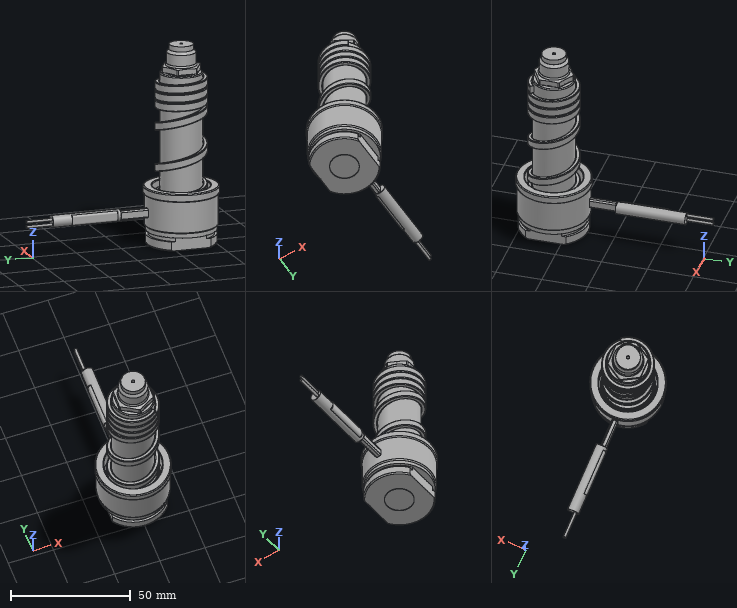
import cadquery as cq
import math

FOOT_RADIUS = 6.2
FOOT_HEIGHT = 0.3
BASE_RADIUS = 15.0
BASE_CHAMFER = 0.5
BASE_TOP = 4.3
GROOVE_RADIUS = 14.0
GROOVE_TOP = 6.1
FLAT_DISTANCE = 12.15

COLLAR_TOP = 8.0
BODY_RADIUS = 15.5
BODY_BOTTOM = 8.5
BODY_TOP = 21.7
RIM_RADIUS = 32.0 / 2
RIM_BOTTOM = 22.15
RIM_TOP = 25.25
RIM_CHAMFER = 0.4
BORE_RADIUS = 12.2
BORE_CHAMFER = 0.35
BORE_SHELF = 18.1
LOWER_BORE_RADIUS = 11.55
BORE_FLOOR = BODY_BOTTOM

BARREL_RADIUS = 9.05
BARREL_TOP = 74.1
BARREL_CHAMFER = 0.4
NECK_RADIUS = 7.0
HEX_BOTTOM = 74.6
HEX_ACROSS_FLATS = 14.9
HEX_CORNER_RADIUS = 8.45
HEX_EDGE_TOP = 76.9
HEX_TOP = 77.2
HEX_CROWN_RADIUS = 6.6
COLLAR_CONE_TOP = 78.0
TIP_COLLAR_RADIUS = 6.2
TIP_COLLAR_TOP = 82.75
TIP_STEP_RADIUS = 5.6
TIP_STEP_BOTTOM = 83.4
TIP_STEP_TOP = 84.0
TIP_RADIUS = 5.2
TIP_TOP = 86.2
TIP_HOLE_RADIUS = 0.6
TIP_HOLE_DEPTH = 1.7

COIL_OUTER_RADIUS = 11.0
COIL_SINK = 0.2
COIL_ROOT_RADIUS = BARREL_RADIUS - COIL_SINK
COIL_HEIGHT = 3.5
COIL_CHAMFER = 0.35
COIL_ROOT_BEVEL_RADIUS = 9.5
COIL_TOP = 70.9
COIL_TOP_ANGLE = -49.4
TIGHT_GAP = 0.39
TIGHT_PITCH = COIL_HEIGHT + TIGHT_GAP
LOOSE_PITCH = 17.85
COIL_STRETCHES = [
    (3.05, TIGHT_PITCH, TIGHT_PITCH),
    (0.36, TIGHT_PITCH, LOOSE_PITCH),
    (1.6, LOOSE_PITCH, LOOSE_PITCH),
    (0.36, LOOSE_PITCH, TIGHT_PITCH),
    (3.0, TIGHT_PITCH, TIGHT_PITCH),
]
POINTS_PER_TURN = 24

SLEEVE_RADIUS = 2.6
SLEEVE_Z = 14.65
SLEEVE_START = 27.4
SLEEVE_END = 57.6
PAD_START = 29.0
PAD_END = 49.1
PAD_HEIGHT = 4.5
PAD_FILLET = 0.95
CORD_X = -0.8
CORD_WIDTH = 2.6
CORD_HEIGHT = 4.05
CORD_CHAMFER = 0.6
CORD_START = 13.8
WIRE_X = -1.0
WIRE_RADIUS = 0.65
WIRE_SPACING = 2.15
OVERALL_LENGTH = 85.0
WIRE_END = OVERALL_LENGTH - RIM_RADIUS


def revolved(profile):
    """Solid of revolution about Z from (radius, z) points."""
    return cq.Workplane("XZ").polyline(profile).close().revolve(360, (0, 0), (0, 1))


def along_y(x, z, start):
    """Sketch plane facing +Y, with its local axes along -X and +Z."""
    return cq.Workplane(cq.Plane((x, start, z), xDir=(-1, 0, 0), normal=(0, 1, 0)))


def make_base():
    base = revolved([
        (0, 0),
        (FOOT_RADIUS, 0),
        (FOOT_RADIUS, FOOT_HEIGHT),
        (BASE_RADIUS - BASE_CHAMFER, FOOT_HEIGHT),
        (BASE_RADIUS, FOOT_HEIGHT + BASE_CHAMFER),
        (BASE_RADIUS, BASE_TOP),
        (GROOVE_RADIUS, BASE_TOP),
        (GROOVE_RADIUS, GROOVE_TOP),
        (0, GROOVE_TOP),
    ])
    between_flats = cq.Workplane("XY").box(
        2 * FLAT_DISTANCE, 2 * BASE_RADIUS, GROOVE_TOP, centered=(True, True, False)
    )
    return base.intersect(between_flats)


def make_cup():
    return revolved([
        (0, GROOVE_TOP),
        (BASE_RADIUS, GROOVE_TOP),
        (BASE_RADIUS, COLLAR_TOP),
        (BODY_RADIUS, BODY_BOTTOM),
        (BODY_RADIUS, BODY_TOP),
        (RIM_RADIUS, RIM_BOTTOM),
        (RIM_RADIUS, RIM_TOP - RIM_CHAMFER),
        (RIM_RADIUS - RIM_CHAMFER, RIM_TOP),
        (BORE_RADIUS + BORE_CHAMFER, RIM_TOP),
        (BORE_RADIUS, RIM_TOP - BORE_CHAMFER),
        (BORE_RADIUS, BORE_SHELF),
        (LOWER_BORE_RADIUS, BORE_SHELF),
        (LOWER_BORE_RADIUS, BORE_FLOOR),
        (0, BORE_FLOOR),
    ])


def make_barrel():
    return revolved([
        (0, BORE_FLOOR),
        (BARREL_RADIUS, BORE_FLOOR),
        (BARREL_RADIUS, BARREL_TOP - BARREL_CHAMFER),
        (BARREL_RADIUS - BARREL_CHAMFER, BARREL_TOP),
        (NECK_RADIUS, BARREL_TOP),
        (NECK_RADIUS, HEX_BOTTOM),
        (0, HEX_BOTTOM),
    ])


def make_hexagon():
    corner_diameter = HEX_ACROSS_FLATS / math.cos(math.pi / 6)
    prism = (
        cq.Workplane("XY", origin=(0, 0, HEX_BOTTOM))
        .polygon(6, corner_diameter)
        .extrude(HEX_TOP - HEX_BOTTOM)
        .rotate((0, 0, 0), (0, 0, 1), 30)
    )
    rounding = revolved([
        (0, HEX_BOTTOM),
        (HEX_CORNER_RADIUS, HEX_BOTTOM),
        (HEX_CORNER_RADIUS, HEX_EDGE_TOP),
        (HEX_CROWN_RADIUS, HEX_TOP),
        (0, HEX_TOP),
    ])
    return prism.intersect(rounding)


def make_tip():
    tip = revolved([
        (0, HEX_TOP),
        (HEX_CROWN_RADIUS, HEX_TOP),
        (TIP_COLLAR_RADIUS, COLLAR_CONE_TOP),
        (TIP_COLLAR_RADIUS, TIP_COLLAR_TOP),
        (TIP_STEP_RADIUS, TIP_STEP_BOTTOM),
        (TIP_RADIUS, TIP_STEP_TOP),
        (TIP_RADIUS, TIP_TOP),
        (0, TIP_TOP),
    ])
    return tip.faces(">Z").workplane().circle(TIP_HOLE_RADIUS).cutBlind(-TIP_HOLE_DEPTH)


def coil_section():
    """Corners of the band as (radius, height above its middle)."""
    half = COIL_HEIGHT / 2
    root_half = half - (COIL_ROOT_BEVEL_RADIUS - COIL_ROOT_RADIUS)
    shoulder = COIL_OUTER_RADIUS - COIL_CHAMFER
    return [
        (COIL_ROOT_RADIUS, -root_half),
        (COIL_ROOT_BEVEL_RADIUS, -half),
        (shoulder, -half),
        (COIL_OUTER_RADIUS, COIL_CHAMFER - half),
        (COIL_OUTER_RADIUS, half - COIL_CHAMFER),
        (shoulder, half),
        (COIL_ROOT_BEVEL_RADIUS, half),
        (COIL_ROOT_RADIUS, root_half),
    ]


def coil_drop(turn, turns, start_pitch, end_pitch):
    """Descent after some turns of a stretch whose pitch changes evenly."""
    return start_pitch * turn + (end_pitch - start_pitch) * turn ** 2 / (2 * turns)


def coil_stretch(start_angle, start_z, turns, start_pitch, end_pitch):
    """Solid band winding down clockwise from a start angle and height."""
    steps = math.ceil(turns * POINTS_PER_TURN)
    rails = []
    for radius, offset in coil_section():
        points = []
        for step in range(steps + 1):
            turn = turns * step / steps
            angle = math.radians(start_angle - 360 * turn)
            z = start_z + offset - coil_drop(turn, turns, start_pitch, end_pitch)
            points.append(cq.Vector(radius * math.cos(angle), radius * math.sin(angle), z))
        rails.append(cq.Edge.makeSpline(points))

    faces = [
        cq.Face.makeRuledSurface(rail, next_rail)
        for rail, next_rail in zip(rails, rails[1:] + rails[:1])
    ]
    for end in (0, 1):
        corners = [rail.positionAt(end) for rail in rails]
        faces.append(cq.Face.makeFromWires(cq.Wire.makePolygon(corners, close=True)))
    return cq.Solid.makeSolid(cq.Shell.makeShell(faces)).fix()


def make_coil():
    """Bands of the coil, each starting where the one above it ends."""
    angle = COIL_TOP_ANGLE
    z = COIL_TOP
    bands = []
    for turns, start_pitch, end_pitch in COIL_STRETCHES:
        bands.append(coil_stretch(angle, z, turns, start_pitch, end_pitch))
        angle -= 360 * turns
        z -= coil_drop(turns, turns, start_pitch, end_pitch)
    return bands


def make_cable():
    cord = (
        along_y(CORD_X, SLEEVE_Z, CORD_START)
        .rect(CORD_WIDTH, CORD_HEIGHT)
        .extrude(SLEEVE_START - CORD_START)
        .edges("|Y")
        .chamfer(CORD_CHAMFER)
    )
    sleeve = along_y(0, SLEEVE_Z, SLEEVE_START).circle(SLEEVE_RADIUS).extrude(SLEEVE_END - SLEEVE_START)
    pad = (
        along_y(-SLEEVE_RADIUS / 2, SLEEVE_Z, PAD_START)
        .rect(SLEEVE_RADIUS, PAD_HEIGHT)
        .extrude(PAD_END - PAD_START)
        .edges("|Y and <X")
        .fillet(PAD_FILLET)
    )
    wires = (
        along_y(WIRE_X, SLEEVE_Z, SLEEVE_END)
        .pushPoints([(0, -WIRE_SPACING / 2), (0, WIRE_SPACING / 2)])
        .circle(WIRE_RADIUS)
        .extrude(WIRE_END - SLEEVE_END)
    )
    return cord.union(sleeve).union(pad).union(wires)


result = make_base().union(make_cup()).union(make_barrel()).union(make_hexagon()).union(make_tip())
for coil_band in make_coil():
    result = result.union(cq.Workplane(obj=coil_band))
result = result.union(make_cable())